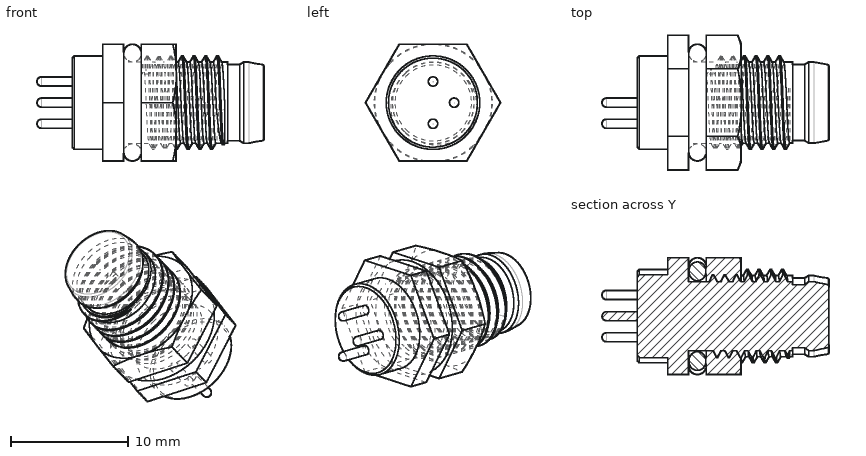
import cadquery as cq
import math


pin_diameter = 0.8
pin_length = 3.0
pin_tip_radius = 0.39
pin_circle_radius = 1.8
pin_angles = (90, 180, 270)

hexagon_sides = 6
across_flats = 10.0
across_corners = across_flats / math.cos(math.pi / hexagon_sides)
barrel_length = 2.6
flange_thickness = 1.8
ring_section = 1.5
nut_thickness = 2.99
total_length = 19.4

barrel_start = pin_length
flange_start = barrel_start + barrel_length
flange_end = flange_start + flange_thickness
nut_start = flange_end + ring_section
nut_end = nut_start + nut_thickness

barrel_radius = 4.0
barrel_chamfer = 0.2
core_radius = 3.47
core_end = 16.28
neck_radius = 3.25
neck_end = 17.3
collar_start = 17.65
collar_end = 18.1
nose_radius = 3.24
nose_fillet = 0.2

full_thread_length = 6.4
full_thread_turns = 6.4
thread_pitch = full_thread_length / full_thread_turns
thread_radius = barrel_radius
thread_depth = thread_radius - core_radius
thread_crest_width = 0.12
thread_root_width = 0.72
thread_inset = 0.39
thread_start = nut_start + thread_inset
thread_start_angle = 45.0
fade_turns = 0.33
root_embed = 0.08
points_per_turn = 24

nut_chamfer_length = 0.3
nut_chamfer_angle = 22.0


def hexagon(start, thickness):
    """Hexagonal prism along X with two flats facing up and down."""
    outline = cq.Workplane("YZ", origin=(start, 0, 0)).polygon(hexagon_sides, across_corners)
    return outline.extrude(thickness)


def turned(profile):
    """Solid of revolution about the X axis from a closed (x, radius) profile in the XY plane."""
    return profile.revolve(360, (0, 0, 0), (1, 0, 0))


def helix_edge(first_turn, last_turn, radius, final_radius, shift):
    """Right-hand helix around X whose radius changes evenly; shift moves it along X."""

    def point(share):
        turn = first_turn + share * (last_turn - first_turn)
        angle = math.radians(thread_start_angle) + 2 * math.pi * turn
        reach = radius + share * (final_radius - radius)
        x = thread_start + turn * thread_pitch + shift
        return (x, reach * math.cos(angle), reach * math.sin(angle))

    steps = math.ceil(points_per_turn * (last_turn - first_turn))
    return cq.Edge.makeSpline([cq.Vector(*point(i / steps)) for i in range(steps + 1)])


def thread_ridge(first_turn, last_turn, final_drop):
    """Thread ridge of trapezoid section that sinks evenly by final_drop."""
    flank_slope = (thread_root_width - thread_crest_width) / 2 / thread_depth
    half_crest = thread_crest_width / 2
    half_base = thread_root_width / 2 + root_embed * flank_slope
    base_radius = core_radius - root_embed
    section = [
        (base_radius, -half_base),
        (thread_radius, -half_crest),
        (thread_radius, half_crest),
        (base_radius, half_base),
    ]
    edges = [
        helix_edge(first_turn, last_turn, radius, radius - final_drop, shift)
        for radius, shift in section
    ]
    sides = [cq.Face.makeRuledSurface(edges[i - 1], edges[i]) for i in range(len(edges))]
    ends = [
        cq.Face.makeFromWires(cq.Wire.makePolygon([edge.positionAt(share) for edge in edges], close=True))
        for share in (0, 1)
    ]
    return cq.Workplane(cq.Solid.makeSolid(cq.Shell.makeShell(sides + ends)))


def make_barrel():
    """Plain rear cylinder with a chamfered rim."""
    blank = cq.Workplane("YZ", origin=(barrel_start, 0, 0)).circle(barrel_radius).extrude(barrel_length)
    return blank.faces("<X").chamfer(barrel_chamfer)


def make_core():
    """Thread core, neck, and collar tapering to a rounded nose."""
    core = turned(
        cq.Workplane("XY")
        .moveTo(flange_end, 0)
        .lineTo(flange_end, core_radius)
        .lineTo(core_end, core_radius)
        .lineTo(core_end, neck_radius)
        .lineTo(neck_end, neck_radius)
        .lineTo(collar_start, core_radius)
        .lineTo(collar_end, core_radius)
        .lineTo(total_length, nose_radius)
        .lineTo(total_length, 0)
        .close()
    )
    return core.faces(">X").edges().fillet(nose_fillet)


def make_housing():
    """Barrel, hexagonal flange and threaded plug end in one piece."""
    flange = hexagon(flange_start, flange_thickness)
    full_thread = thread_ridge(0, full_thread_turns, 0)
    fading_thread = thread_ridge(
        full_thread_turns, full_thread_turns + fade_turns, thread_depth + root_embed
    )
    return make_barrel().union(flange).union(make_core()).union(full_thread).union(fading_thread)


def make_sealing_ring():
    """Ring of round section between flange and nut, flush with their flats."""
    radius = ring_section / 2
    section = cq.Workplane("XY").moveTo(flange_end + radius, across_flats / 2 - radius).circle(radius)
    return turned(section)


def make_nut(housing):
    """Hexagonal nut with chamfered corners, threaded to match the housing."""
    corner_radius = across_corners / 2
    drop = nut_chamfer_length / math.tan(math.radians(nut_chamfer_angle))
    envelope = turned(
        cq.Workplane("XY")
        .moveTo(nut_start, 0)
        .lineTo(nut_start, corner_radius)
        .lineTo(nut_end - nut_chamfer_length, corner_radius)
        .lineTo(nut_end, corner_radius - drop)
        .lineTo(nut_end, 0)
        .close()
    )
    return hexagon(nut_start, nut_thickness).intersect(envelope).cut(housing)


def make_pin(angle):
    """Round pin with a domed tip, standing on the rear face of the housing."""
    y = pin_circle_radius * math.cos(math.radians(angle))
    z = pin_circle_radius * math.sin(math.radians(angle))
    pin = cq.Workplane("YZ", origin=(0, y, z)).circle(pin_diameter / 2).extrude(pin_length)
    return pin.faces("<X").edges().fillet(pin_tip_radius)


housing = make_housing()
sealing_ring = make_sealing_ring()
nut = make_nut(housing)
pins = [make_pin(angle) for angle in pin_angles]

result = cq.Compound.makeCompound(
    [housing.val(), sealing_ring.val(), nut.val(), *[pin.val() for pin in pins]]
)